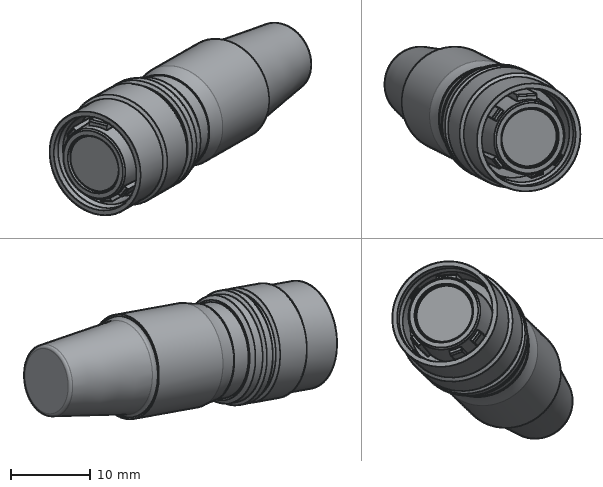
import cadquery as cq

length = 43.0
front_y = -length / 2
rear_y = length / 2

boot_end_radius = 4.55
boot_root_radius = 6.0
boot_root_y = 9.05
boot_end_round = 0.45

shell_radius = 6.7
shell_rear_radius = 6.45
shell_rear_y = 8.45
shell_front_y = -2.15

flare_end_radius = 6.28
flare_sag = 0.05
neck_radius = 6.15
neck_rear_y = -4.47
neck_front_y = -6.92

sleeve_radius = 6.92
sleeve_rear_chamfer = 0.5
band_radius = 7.35
bevel_length = 0.35
rear_band_y = -8.65
rear_band_width = 1.68
front_band_y = -10.85
front_band_width = 5.15
core_projection = 0.45
sleeve_front_y = front_y + core_projection

mouth_radius = 6.28
mouth_depth = 0.95
socket_radius = 6.0
socket_taper = 0.75
socket_depth = 5.15
socket_floor_y = sleeve_front_y + socket_depth

core_radius = 4.75
core_root_radius = 4.95
core_chamfer = 0.2
bore_radius = 3.85
insert_depth = 0.3
insert_chamfer = 0.2

master_key_angle = 90
master_key_width = 2.65
master_key_radius = 5.4
master_key_setback = 1.1
narrow_key_angles = (142, 218, 285, 322)
narrow_key_width = 1.6
narrow_key_radius = 5.35
narrow_key_setback = 0.85
key_chamfer = 0.2


def turn(outline):
    """Revolve a closed half outline fully about the Y axis."""
    return outline.revolve(360, (0, 0, 0), (0, 1, 0))


def band_points(start_y, width):
    """Outline points of a raised band with a bevel on each flank, running toward -Y."""
    return [
        (sleeve_radius, start_y),
        (band_radius, start_y - bevel_length),
        (band_radius, start_y - width + bevel_length),
        (sleeve_radius, start_y - width),
    ]


def make_body():
    """Outer body turned about Y, solid from the boot end to the sleeve front."""
    flare_mid = ((shell_radius + flare_end_radius) / 2 - flare_sag, (shell_front_y + neck_rear_y) / 2)
    profile = (
        cq.Workplane("XY")
        .moveTo(0, rear_y)
        .lineTo(boot_end_radius, rear_y)
        .lineTo(boot_root_radius, boot_root_y)
        .tangentArcPoint((shell_rear_radius, shell_rear_y), relative=False)
        .lineTo(shell_radius, shell_rear_y)
        .lineTo(shell_radius, shell_front_y)
        .threePointArc(flare_mid, (flare_end_radius, neck_rear_y))
        .lineTo(neck_radius, neck_rear_y)
        .lineTo(neck_radius, neck_front_y)
        .lineTo(sleeve_radius - sleeve_rear_chamfer, neck_front_y)
        .lineTo(sleeve_radius, neck_front_y - sleeve_rear_chamfer)
    )
    rear_band = band_points(rear_band_y, rear_band_width)
    front_band = band_points(front_band_y, front_band_width)
    for point in rear_band + front_band:
        profile = profile.lineTo(*point)
    profile = profile.lineTo(sleeve_radius, sleeve_front_y).lineTo(0, sleeve_front_y).close()
    body = turn(profile)
    return body.faces(">Y").edges().fillet(boot_end_round)


def make_socket():
    """Cavity of the sleeve: a wider mouth tapering to the socket bore."""
    taper_y = sleeve_front_y + mouth_depth
    outline = [
        (0, sleeve_front_y),
        (mouth_radius, sleeve_front_y),
        (mouth_radius, taper_y),
        (socket_radius, taper_y + socket_taper),
        (socket_radius, socket_floor_y),
        (0, socket_floor_y),
    ]
    return turn(cq.Workplane("XY").polyline(outline).close())


def make_core():
    """Drafted plug core rising from the socket floor, with a chamfered insert sunk in its bore."""
    outline = [
        (0, socket_floor_y),
        (core_root_radius, socket_floor_y),
        (core_radius, front_y + core_chamfer),
        (core_radius - core_chamfer, front_y),
        (bore_radius, front_y),
        (bore_radius, front_y + insert_depth + insert_chamfer),
        (bore_radius - insert_chamfer, front_y + insert_depth),
        (0, front_y + insert_depth),
    ]
    return turn(cq.Workplane("XY").polyline(outline).close())


def make_key(angle, width, outer_radius, setback):
    """Straight key along the plug core with a chamfered outer front edge."""
    start_y = front_y + setback
    key_length = socket_floor_y - start_y
    root_radius = core_radius / 2
    key = (
        cq.Workplane("XY")
        .box(outer_radius - root_radius, key_length, width, centered=(False, False, True))
        .translate((root_radius, start_y, 0))
        .edges(">X and <Y")
        .chamfer(key_chamfer)
    )
    return key.rotate((0, 0, 0), (0, 1, 0), -angle)


result = make_body().cut(make_socket()).union(make_core())
result = result.union(make_key(master_key_angle, master_key_width, master_key_radius, master_key_setback))
for angle in narrow_key_angles:
    result = result.union(make_key(angle, narrow_key_width, narrow_key_radius, narrow_key_setback))